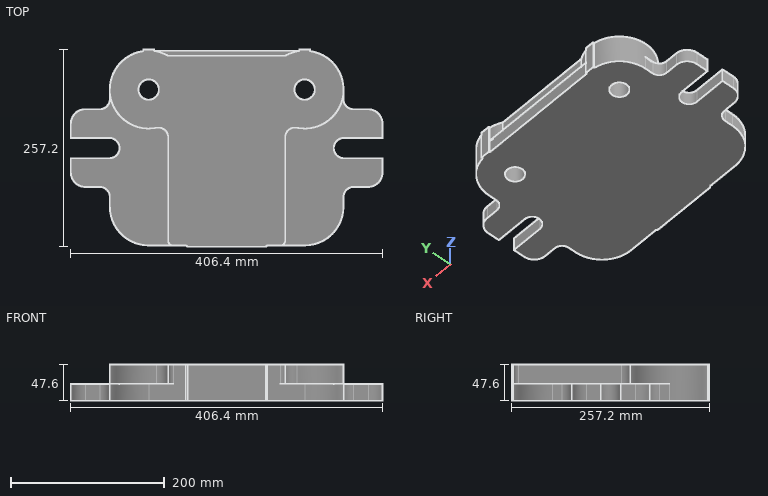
import cadquery as cq
import math

base_height = 22.225
total_height = 47.625

body_length = 304.8
body_width = 254.0
lobe_radius = 50.8

ear_span = 406.4
ear_width = 101.6
ear_corner_radius = 19.05
ear_root_radius = 12.7
slot_width = 26.2
slot_depth = 63.5

stem_width = 152.4
stem_root_radius = 12.7
stem_corner_radius = 6.35

hole_diameter = 26.2

pad_projection = 1.5875
front_pad_width = 101.6
front_pad_flare = 2.38125
back_pad_width = 14.2875

half_width = body_width / 2
half_stem = stem_width / 2
lobe_x = body_length / 2 - lobe_radius
lobe_y = half_width - lobe_radius
lobe_centres = [(-lobe_x, lobe_y), (lobe_x, lobe_y)]
lobe_crossing = math.sqrt(lobe_radius**2 - (lobe_x - half_stem) ** 2)
stem_back_y = lobe_y + lobe_crossing


def make_base():
    """Plate with a slotted ear at each end and square notches left for the lobes at the back."""
    body = (
        cq.Workplane("XY")
        .rect(body_length, body_width)
        .extrude(base_height)
        .edges("|Z and <Y")
        .fillet(lobe_radius)
    )
    notches = (
        cq.Workplane("XY")
        .pushPoints([(-body_length / 2, half_width), (body_length / 2, half_width)])
        .rect(2 * lobe_radius, 2 * lobe_radius)
        .extrude(base_height)
    )
    body = body.cut(notches)
    ears = cq.Workplane("XY").rect(ear_span, ear_width).extrude(base_height)
    ears = ears.edges("|Z").fillet(ear_corner_radius)
    plate = body.union(ears)
    for side_x in (-1, 1):
        for side_y in (-1, 1):
            root = (side_x * body_length / 2, side_y * ear_width / 2, base_height / 2)
            plate = plate.edges(cq.selectors.NearestToPointSelector(root)).fillet(ear_root_radius)
    return plate


def cut_ear_slots(part):
    """Cut an open slot with a round inner end into each ear."""
    slot_length = 2 * slot_depth
    for side in (-1, 1):
        slot = (
            cq.Workplane("XY")
            .center(side * ear_span / 2, 0)
            .slot2D(slot_length, slot_width)
            .extrude(base_height)
        )
        part = part.cut(slot)
    return part


def make_platform():
    """Central stem with two round lobes at its back end, full height of the part."""
    stem_length = half_width + stem_back_y
    stem = (
        cq.Workplane("XY", origin=(0, stem_back_y - stem_length / 2))
        .rect(stem_width, stem_length)
        .extrude(total_height)
        .edges("|Z and <Y")
        .fillet(stem_corner_radius)
    )
    lobes = cq.Workplane("XY").pushPoints(lobe_centres).circle(lobe_radius).extrude(total_height)
    platform = stem.union(lobes)
    for side in (-1, 1):
        root = (side * half_stem, lobe_y - lobe_crossing, total_height / 2)
        platform = platform.edges(cq.selectors.NearestToPointSelector(root)).fillet(stem_root_radius)
    return platform


def make_front_pad():
    """Full-height pad with sloped ends on the front edge."""
    tip_half = front_pad_width / 2
    root_half = tip_half + front_pad_flare
    tip_y = -half_width - pad_projection
    return (
        cq.Workplane("XY")
        .moveTo(-root_half, -half_width)
        .lineTo(-tip_half, tip_y)
        .lineTo(tip_half, tip_y)
        .lineTo(root_half, -half_width)
        .close()
        .extrude(total_height)
    )


def make_back_pads():
    """Full-height pads that stand out from the crown of each lobe."""
    pad_depth = lobe_radius / 2
    pad_y = half_width + pad_projection - pad_depth / 2
    return (
        cq.Workplane("XY")
        .pushPoints([(x, pad_y) for x, _ in lobe_centres])
        .rect(back_pad_width, pad_depth)
        .extrude(total_height)
    )


def drill_lobe_holes(part):
    """Drill the vertical through hole in the centre of each lobe."""
    drills = cq.Workplane("XY").pushPoints(lobe_centres).circle(hole_diameter / 2).extrude(total_height)
    return part.cut(drills)


base = cut_ear_slots(make_base())
solid = base.union(make_platform()).union(make_front_pad()).union(make_back_pads())
result = drill_lobe_holes(solid)